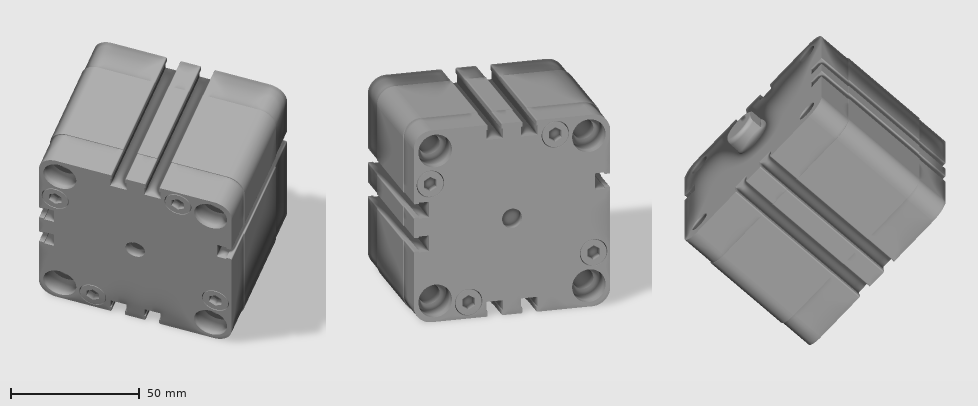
import cadquery as cq
import math

BARREL_SIDE = 80.0
COVER_SIDE = 79.4
CORNER_RADIUS = 7.2
COVER_LENGTH = 14.0
BODY_LENGTH = 65.0
OVERALL_LENGTH = 72.5
BARREL_LENGTH = BODY_LENGTH - 2 * COVER_LENGTH

SLOT_DEPTH = 6.5
SLOT_LIP = 2.5
SLOT_MOUTH = 5.6
SLOT_CHAMBER = 6.6
MOUTH_ROUNDING = 0.5
SLOT_PITCH = 14.0
PAIRED_SLOT_ANGLES = (0, 180, -90)

SIDE_SLOT_ANGLE = 90
SIDE_SLOT_CENTER = 11.8
SIDE_SLOT_MOUTH = 5.4
SIDE_SLOT_CHAMBER = 6.8
SIDE_SLOT_ROUNDING = 0.4

MOUNT_OFFSET = 31.0
MOUNT_BORE = 8.4
MOUNT_COUNTERBORE = 13.5
MOUNT_COUNTERBORE_DEPTH = 8.4

SCREW_NEAR = 17.5
SCREW_FAR = 33.0
SCREW_POCKET = 11.1
SCREW_HEAD = 10.5
SCREW_POCKET_DEPTH = 6.0
SOCKET_ACROSS_FLATS = 5.1
SOCKET_DEPTH = 3.2

CENTER_BORE = 8.0
CENTER_BORE_DEPTH = 4.0

ROD_DIAMETER = 16.0
ROD_FLATS = 13.2
ROD_FLAT_LENGTH = 5.6
ROD_TIP_ROUNDING = 1.8


def front_plane(y=0.0):
    """Plane facing -Y at the given Y, with local x along X and local y along Z."""
    return cq.Workplane("XZ", origin=(0, y, 0))


def turned(shape, angle):
    """Shape turned about the Y axis."""
    return shape.rotate((0, 0, 0), (0, 1, 0), angle)


def make_slot(surface, center, mouth, chamber, start, length):
    """Cutter for a slot along Y in a +Z face at height surface, with rounded mouth edges."""
    floor = BARREL_SIDE / 2 - SLOT_DEPTH
    lip = BARREL_SIDE / 2 - SLOT_LIP
    half_chamber = chamber / 2
    half_mouth = mouth / 2
    flare = half_mouth + MOUTH_ROUNDING
    outline = (
        front_plane(start)
        .center(center, 0)
        .moveTo(-half_chamber, floor)
        .lineTo(half_chamber, floor)
        .lineTo(half_chamber, lip)
        .lineTo(half_mouth, lip)
        .lineTo(half_mouth, surface - MOUTH_ROUNDING)
        .radiusArc((flare, surface), MOUTH_ROUNDING)
        .lineTo(-flare, surface)
        .radiusArc((-half_mouth, surface - MOUTH_ROUNDING), MOUTH_ROUNDING)
        .lineTo(-half_mouth, lip)
        .lineTo(-half_chamber, lip)
        .close()
    )
    return outline.extrude(-length)


def make_section(side, start, length):
    """One length of the body: a rounded square block with all its sensor slots."""
    section = front_plane(start).rect(side, side).extrude(-length)
    section = section.edges("|Y").fillet(CORNER_RADIUS)
    for side_angle in PAIRED_SLOT_ANGLES:
        for center in (-SLOT_PITCH / 2, SLOT_PITCH / 2):
            slot = make_slot(side / 2, center, SLOT_MOUTH, SLOT_CHAMBER, start, length)
            section = section.cut(turned(slot, side_angle))
    side_slot = make_slot(side / 2, -SIDE_SLOT_CENTER, SIDE_SLOT_MOUTH, SIDE_SLOT_CHAMBER, start, length)
    side_slot = side_slot.edges("|Y").edges("<X or >X").fillet(SIDE_SLOT_ROUNDING)
    return section.cut(turned(side_slot, SIDE_SLOT_ANGLE))


def make_body():
    front_cover = make_section(COVER_SIDE, 0, COVER_LENGTH)
    barrel = make_section(BARREL_SIDE, COVER_LENGTH, BARREL_LENGTH)
    rear_cover = make_section(COVER_SIDE, COVER_LENGTH + BARREL_LENGTH, COVER_LENGTH)
    return front_cover.union(barrel).union(rear_cover)


def cut_mount_holes(body):
    spacing = 2 * MOUNT_OFFSET
    through = front_plane().rarray(spacing, spacing, 2, 2).circle(MOUNT_BORE / 2).extrude(-BODY_LENGTH)
    seats = front_plane().rarray(spacing, spacing, 2, 2).circle(MOUNT_COUNTERBORE / 2)
    return body.cut(through).cut(seats.extrude(-MOUNT_COUNTERBORE_DEPTH))


def cut_screws(body):
    """Ring gap and hexagon socket of each cover screw; the heads sit flush with the cover."""
    places = [
        (SCREW_NEAR, SCREW_FAR),
        (SCREW_FAR, -SCREW_NEAR),
        (-SCREW_NEAR, -SCREW_FAR),
        (-SCREW_FAR, SCREW_NEAR),
    ]
    pocket = front_plane().circle(SCREW_POCKET / 2).circle(SCREW_HEAD / 2).extrude(-SCREW_POCKET_DEPTH)
    across_corners = SOCKET_ACROSS_FLATS / math.cos(math.pi / 6)
    socket = turned(front_plane().polygon(6, across_corners).extrude(-SOCKET_DEPTH), 90)
    for x, z in places:
        place = (x, 0, z)
        body = body.cut(pocket.translate(place)).cut(socket.translate(place))
    return body


def cut_center_bore(body):
    return body.cut(front_plane().circle(CENTER_BORE / 2).extrude(-CENTER_BORE_DEPTH))


def make_rod():
    """Rod end with a rounded tip and two flats that run out at 45 degrees."""
    radius = ROD_DIAMETER / 2
    rod = front_plane(BODY_LENGTH).circle(radius).extrude(BODY_LENGTH - OVERALL_LENGTH)
    rod = rod.faces(">Y").edges().fillet(ROD_TIP_ROUNDING)
    half_flats = ROD_FLATS / 2
    flat_end = OVERALL_LENGTH - ROD_FLAT_LENGTH
    run_out = radius - half_flats
    for side in (1, -1):
        flat = (
            cq.Workplane("XY")
            .moveTo(side * half_flats, OVERALL_LENGTH)
            .lineTo(side * half_flats, flat_end)
            .lineTo(side * radius, flat_end - run_out)
            .lineTo(side * radius, OVERALL_LENGTH)
            .close()
            .extrude(radius, both=True)
        )
        rod = rod.cut(flat)
    return rod


body = make_body()
body = cut_mount_holes(body)
body = cut_screws(body)
body = cut_center_bore(body)
result = body.union(make_rod())